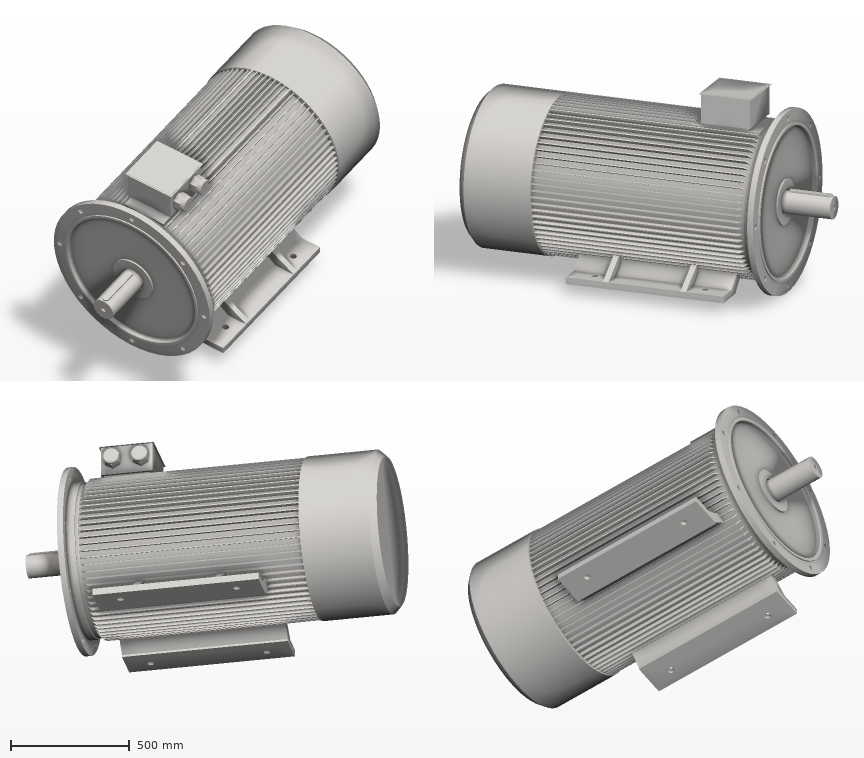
import cadquery as cq
import math


shaft_diameter = 100.0
shaft_length = 210.0
center_hole_diameter = 20.75
center_hole_mouth_diameter = 24.0
center_hole_depth = 40.0
key_width = 28.0
key_top = 56.0
key_length = 195.0
key_tip_gap = 5.0

full_size_limit = 0.999

flange_diameter = 800.0
flange_thickness = 26.0
spigot_diameter = 680.0
spigot_height = 6.0
bolt_circle_diameter = 740.0
bolt_hole_diameter = 24.0
bolt_hole_count = 8
recess_mouth_diameter = 656.0
recess_diameter = 650.0
recess_depth = 20.0
recess_floor_fillet = 8.0
bearing_boss_diameter = 200.0
bearing_boss_height = 8.0
shaft_clearance_diameter = 110.0
shaft_clearance_depth = 10.0
shield_diameter = 670.0
shield_rear = 62.0
collar_diameter = 656.0
collar_rear = 78.0

housing_diameter = 650.0
fin_tip_radius = 344.0
fin_thickness = 5.0
fin_root_depth = 10.0
fin_end_length = 19.0
fin_count = 72
housing_radius = housing_diameter / 2

motor_rear = 1360.0
cover_diameter = 698.0
cover_length = 331.0
cover_chamfer = 30.0
cover_front = motor_rear - cover_length

pad_half_width = 101.0
pad_top = 326.0
pad_front = 88.0
pad_bottom = 250.0
pad_fin_tip_radius = 348.0
pad_fin_front = 382.0
pad_fin_end_length = 12.0
pad_fin_pitch = 23.65
pad_fin_half_count = 3
pad_edge_fin_thickness = 9.0

box_center_y = 238.0
box_width = 222.0
box_bottom = 341.0
box_neck_width = 200.0
lid_width = 236.0
lid_thickness = 4.0
lid_panel_height = 1.5
lid_panel_width = 225.0
lid_top = 474.0

gland_center_y = 240.5
gland_spacing = 121.0
gland_height = 404.0
gland_nut_across_flats = 65.0
gland_nut_turn = 90.0
gland_nut_end = 145.0
gland_cap_diameter = 69.61
gland_cap_end = 164.0
gland_cap_chamfer = 4.0

shaft_height = 355.0
foot_length = 714.0
foot_center_y = 504.0
foot_outer_x = 367.0
foot_inner_x = 221.0
foot_plate_thickness = 30.0
foot_inner_step = 9.0
web_root_x = 275.0
web_top_x = 190.0
web_top_z = -260.0
web_under_x = 155.0
web_under_z = -280.0
rib_top_x = 225.0
rib_top_z = -233.0
foot_hole_diameter = 28.0
foot_hole_x = 305.0
foot_hole_spacing = 500.0
foot_rib_thickness = 25.0
foot_rib_spacing = 351.0
foot_bottom = -shaft_height
foot_plate_top = foot_bottom + foot_plate_thickness


def disc(diameter, front, rear):
    """Cylinder about the Y axis from y = front to y = rear."""
    plane = cq.Workplane("XZ", origin=(0, front, 0))
    return plane.circle(diameter / 2).extrude(front - rear)


def block(x_range, y_range, z_range):
    """Axis-aligned box between the given limits."""
    size = [limits[1] - limits[0] for limits in (x_range, y_range, z_range)]
    corner = (x_range[0], y_range[0], z_range[0])
    return cq.Workplane("XY").box(*size, centered=False).translate(corner)


def upright_fin(thickness, floor, tip, front, end_length):
    """Fin standing on +Z above a floor height, with a sloping front end."""
    root = floor - fin_root_depth
    outline = [
        (front, root),
        (front, floor),
        (front + end_length, tip),
        (cover_front, tip),
        (cover_front, root),
    ]
    return cq.Workplane("YZ").polyline(outline).close().extrude(thickness / 2, both=True)


def make_end_shield():
    flange = disc(flange_diameter, 0, flange_thickness)
    shield = flange.union(disc(spigot_diameter, -spigot_height, 0))
    shield = shield.union(disc(shield_diameter, flange_thickness, shield_rear))
    shield = shield.union(disc(collar_diameter, shield_rear, collar_rear))

    recess_floor = recess_depth - spigot_height
    mouth_chamfer = (recess_mouth_diameter - recess_diameter) / 2
    recess = disc(recess_diameter, -spigot_height, recess_floor)
    recess = recess.faces(">Y").edges().fillet(recess_floor_fillet)
    mouth = disc(recess_mouth_diameter, -spigot_height, mouth_chamfer - spigot_height)
    mouth = mouth.faces(">Y").chamfer(mouth_chamfer * full_size_limit)
    boss_face = recess_floor - bearing_boss_height
    boss = disc(bearing_boss_diameter, boss_face, recess_floor)
    clearance = disc(shaft_clearance_diameter, boss_face, boss_face + shaft_clearance_depth)
    bolt_holes = (
        cq.Workplane("XZ")
        .polarArray(bolt_circle_diameter / 2, 0, 360, bolt_hole_count)
        .circle(bolt_hole_diameter / 2)
        .extrude(-flange_thickness)
    )
    shield = shield.cut(recess.union(mouth)).union(boss)
    return shield.cut(clearance).cut(bolt_holes)


def make_shaft():
    shaft = disc(shaft_diameter, -shaft_length, collar_rear)
    key_tip = key_tip_gap - shaft_length
    key = block(
        (-key_width / 2, key_width / 2),
        (key_tip, key_tip + key_length),
        (0, key_top),
    )
    key = key.edges("|Z and <Y").fillet(key_width / 2 * full_size_limit)
    center_hole = disc(center_hole_diameter, -shaft_length, center_hole_depth - shaft_length)
    countersink_depth = (center_hole_mouth_diameter - center_hole_diameter) / 2
    motor_shaft = shaft.union(key).cut(center_hole)
    hole_rim = cq.selectors.RadiusNthSelector(0)
    return motor_shaft.faces("<Y").edges(hole_rim).chamfer(countersink_depth)


def make_housing():
    housing = disc(housing_diameter, collar_rear, cover_front)
    fin = upright_fin(
        fin_thickness, housing_radius, fin_tip_radius, collar_rear, fin_end_length
    )
    fin_pitch = 360.0 / fin_count
    pad_half_angle = math.degrees(math.asin(pad_half_width / housing_radius))
    first_fin = math.ceil(pad_half_angle / fin_pitch)
    fins = []
    for index in range(first_fin, fin_count - first_fin + 1):
        fins.append(fin.rotate((0, 0, 0), (0, 1, 0), index * fin_pitch).val())
    return housing.union(cq.Workplane(cq.Compound.makeCompound(fins)))


def make_pad_fin(center_x, thickness):
    """Upright fin on the pad; all these fins end on one circle about the shaft axis."""
    tip = math.sqrt(pad_fin_tip_radius**2 - center_x**2)
    fin = upright_fin(thickness, pad_top, tip, pad_fin_front, pad_fin_end_length)
    return fin.translate((center_x, 0, 0))


def make_pad():
    pad = block(
        (-pad_half_width, pad_half_width),
        (pad_front, cover_front),
        (pad_bottom, pad_top),
    )
    for index in range(-pad_fin_half_count, pad_fin_half_count + 1):
        pad = pad.union(make_pad_fin(index * pad_fin_pitch, fin_thickness))
    edge_fin_x = pad_half_width - pad_edge_fin_thickness / 2
    for side in (-1, 1):
        pad = pad.union(make_pad_fin(side * edge_fin_x, pad_edge_fin_thickness))
    return pad


def make_fan_cover():
    return disc(cover_diameter, cover_front, motor_rear).faces(">Y").chamfer(cover_chamfer)


def make_gland(center_y):
    box_side = box_width / 2
    nut_across_corners = gland_nut_across_flats / math.cos(math.pi / 6)
    nut = (
        cq.Workplane("YZ", origin=(box_side, center_y, gland_height))
        .transformed(rotate=(0, 0, gland_nut_turn))
        .polygon(6, nut_across_corners)
        .extrude(gland_nut_end - box_side)
    )
    cap = (
        cq.Workplane("YZ", origin=(gland_nut_end, center_y, gland_height))
        .circle(gland_cap_diameter / 2)
        .extrude(gland_cap_end - gland_nut_end)
        .faces(">X")
        .chamfer(gland_cap_chamfer)
    )
    return nut.union(cap)


def box_layer(width, bottom, top):
    """Square layer of the terminal box between two heights."""
    plane = cq.Workplane("XY", origin=(0, box_center_y, bottom))
    return plane.rect(width, width).extrude(top - bottom)


def make_terminal_box():
    lid_bottom = lid_top - lid_thickness
    lid_rim_height = lid_thickness - lid_panel_height
    neck = box_layer(box_neck_width, pad_top, box_bottom)
    body = box_layer(box_width, box_bottom, lid_bottom)
    lid = box_layer(lid_width, lid_bottom, lid_bottom + lid_rim_height)
    panel = box_layer(lid_panel_width, lid_bottom + lid_rim_height, lid_top)
    box = neck.union(body).union(lid).union(panel)
    for side in (-1, 1):
        box = box.union(make_gland(gland_center_y + side * gland_spacing / 2))
    return box


def make_foot():
    """Foot on the +X side: base plate, sloping web into the housing and two ribs."""
    section = (
        cq.Workplane("XZ", origin=(0, foot_center_y, 0))
        .moveTo(foot_inner_x, foot_bottom)
        .lineTo(foot_outer_x, foot_bottom)
        .lineTo(foot_outer_x, foot_plate_top)
        .lineTo(web_root_x, foot_plate_top)
        .lineTo(web_top_x, web_top_z)
        .lineTo(web_under_x, web_under_z)
        .lineTo(foot_inner_x, foot_bottom + foot_inner_step)
        .close()
    )
    foot = section.extrude(foot_length / 2, both=True)

    rib_outline = [
        (foot_outer_x, foot_plate_top),
        (rib_top_x, rib_top_z),
        (foot_inner_x, foot_plate_top),
    ]
    for side in (-1, 1):
        rib_y = foot_center_y + side * foot_rib_spacing / 2
        rib_plane = cq.Workplane("XZ", origin=(0, rib_y, 0))
        rib = rib_plane.polyline(rib_outline).close().extrude(foot_rib_thickness / 2, both=True)
        foot = foot.union(rib)

        hole_y = foot_center_y + side * foot_hole_spacing / 2
        hole_plane = cq.Workplane("XY", origin=(foot_hole_x, hole_y, foot_bottom))
        foot = foot.cut(hole_plane.circle(foot_hole_diameter / 2).extrude(foot_plate_thickness))
    return foot


right_foot = make_foot()
left_foot = right_foot.mirror("YZ")

result = make_housing()
for component in (
    make_end_shield(),
    make_shaft(),
    make_pad(),
    make_fan_cover(),
    make_terminal_box(),
    right_foot,
    left_foot,
):
    result = result.union(component)